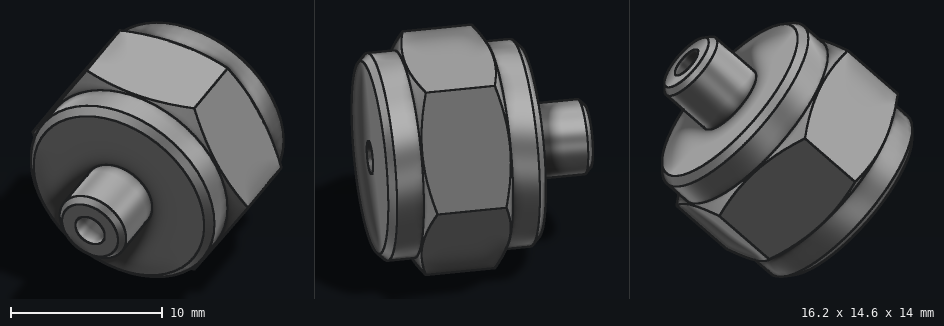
import cadquery as cq
import math

body_diameter = 13.8
body_length = 10.6
body_chamfer = 0.5
spigot_diameter = 5.0
spigot_length = 4.0
spigot_chamfer = 0.4
bore_diameter = 2.2
hex_sides = 6
hex_across_flats = 14.0
hex_length = 6.0
hex_setback = 2.3
hex_chamfer_angle = 30.0

hex_across_corners = hex_across_flats / math.cos(math.pi / hex_sides)
total_length = body_length + spigot_length
corner_chamfer_run = (hex_across_corners - body_diameter) / 2
corner_chamfer_depth = corner_chamfer_run * math.tan(math.radians(hex_chamfer_angle))

body_rear = body_length
hex_rear = body_rear - hex_setback
hex_front = hex_rear - hex_length


def plane_at(y):
    """Plane across the part axis, extruding toward -Y."""
    return cq.Workplane("XZ", origin=(0, y, 0))


def make_body():
    """Round body with both end rims chamfered."""
    body = plane_at(body_rear).circle(body_diameter / 2).extrude(body_length)
    return body.edges("%CIRCLE").chamfer(body_chamfer)


def make_hexagon():
    """Hexagonal wrench collar, its corners turned off conically at both ends."""
    prism = plane_at(hex_rear).polygon(hex_sides, hex_across_corners).extrude(hex_length)
    root_radius = body_diameter / 2
    corner_radius = hex_across_corners / 2
    envelope = (
        cq.Workplane("XY")
        .polyline([
            (0, hex_front),
            (root_radius, hex_front),
            (corner_radius, hex_front + corner_chamfer_depth),
            (corner_radius, hex_rear - corner_chamfer_depth),
            (root_radius, hex_rear),
            (0, hex_rear),
        ])
        .close()
        .revolve(360, (0, 0, 0), (0, 1, 0))
    )
    return prism.intersect(envelope)


def make_spigot():
    """Front spigot with a chamfered tip."""
    spigot = plane_at(0).circle(spigot_diameter / 2).extrude(spigot_length)
    return spigot.faces("<Y").chamfer(spigot_chamfer)


def make_bore():
    """Through bore along the whole part."""
    return plane_at(body_rear).circle(bore_diameter / 2).extrude(total_length)


result = make_body().union(make_hexagon()).union(make_spigot()).cut(make_bore())